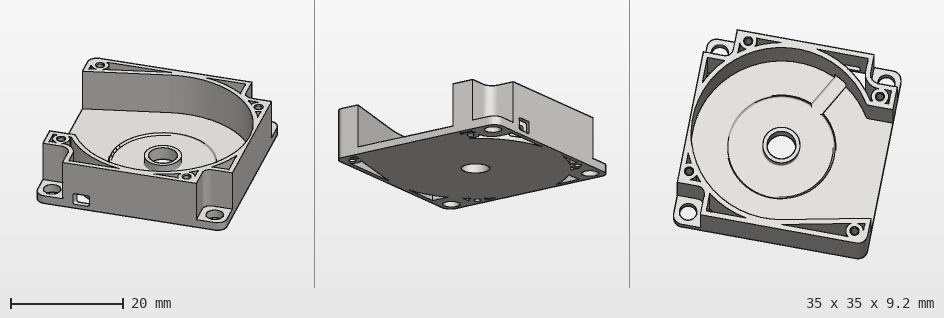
import cadquery as cq
import math

SIDE = 35.0
HEIGHT = 9.2
HALF = SIDE / 2
CORNER_RADIUS = 1.75
WALL = 0.9
FLOOR = 1.33
OVERRUN = 1.75

EAR_THICKNESS = 1.6
RELIEF = 5.15
RELIEF_RADIUS = 1.45
OUTLET_RELIEF_RADIUS = 1.8
MOUNT_HOLE_DIAMETER = 3.08
MOUNT_HOLE_OFFSET = 15.0
EARS = [
    (-1, -1, OUTLET_RELIEF_RADIUS),
    (1, -1, RELIEF_RADIUS),
    (1, 1, RELIEF_RADIUS),
]

FAN_X = 1.05
FAN_RADIUS = 16.0
OUTLET_TOP_Y = 12.5
OUTLET_BOTTOM_Y = -8.05
TONGUE_RADIUS = 0.7

POST_RADIUS = 1.55
SCREW_HOLE_DIAMETER = 1.25
SCREW_CHAMFER = 0.18
FILLER_OVERLAP = 0.55
POSTS = [(-15.05, 15.35), (15.82, 9.95), (-14.8, -10.0), (10.05, -15.8)]
FILLED_CORNERS = [(POSTS[0], -1, 1), (POSTS[1], 1, 1), (POSTS[3], 1, -1)]

RECESS_RADIUS = 9.52
RECESS_FLOOR = 0.85
RECESS_FILLET = 0.35
RECESS_RIM_ROUND = FLOOR - RECESS_FLOOR - RECESS_FILLET
COLLAR_DIAMETER = 6.6
COLLAR_TOP = 2.45
COLLAR_FILLET = 0.18
BORE_DIAMETER = 5.1
CHANNEL_X = -8.92
CHANNEL_WIDTH = 2.65
CHANNEL_HEIGHT = 2.2
CHANNEL_ANGLE = 28.6
CHANNEL_LENGTH = 12.6


def block(x_min, x_max, y_min, y_max, z_min, z_max):
    return cq.Workplane("XY").box(
        x_max - x_min, y_max - y_min, z_max - z_min, centered=False
    ).translate((x_min, y_min, z_min))


def corner_relief(x_side, y_side, size, radius):
    """Corner block above the ears, rounded at its inner vertical edge."""
    reach = size + OVERRUN
    relief = (
        cq.Workplane("XY")
        .rect(2 * reach, 2 * reach)
        .extrude(HEIGHT + OVERRUN)
        .edges("|Z")
        .fillet(radius)
    )
    corner = HALF + OVERRUN
    return relief.translate((x_side * corner, y_side * corner, 0))


def chamber(growth):
    """Fan circle and outlet as a full-height solid, grown outward by the given amount."""
    radius = FAN_RADIUS + growth
    rise_x = -HALF - FAN_X
    distance = math.hypot(rise_x, OUTLET_TOP_Y)
    tangent = math.atan2(OUTLET_TOP_Y, rise_x) - math.acos(FAN_RADIUS / distance)
    tangent_x = FAN_X + radius * math.cos(tangent)
    tangent_y = radius * math.sin(tangent)
    outside_x = -HALF - OVERRUN
    outside_y = tangent_y + (tangent_x - outside_x) / math.tan(tangent)
    bottom_y = OUTLET_BOTTOM_Y - growth
    outlet = (
        cq.Workplane("XY")
        .polyline([
            (outside_x, outside_y),
            (tangent_x, tangent_y),
            (FAN_X, 0),
            (FAN_X, bottom_y),
            (outside_x, bottom_y),
        ])
        .close()
        .extrude(HEIGHT + OVERRUN)
    )
    fan = cq.Workplane("XY").center(FAN_X, 0).circle(radius).extrude(HEIGHT + OVERRUN)
    return fan.union(outlet)


def chamber_cavity():
    """Open chamber above the floor, with the tongue beside the outlet rounded off."""
    tongue_x = FAN_X - math.sqrt(FAN_RADIUS**2 - OUTLET_BOTTOM_Y**2)
    tongue = cq.selectors.NearestToPointSelector((tongue_x, OUTLET_BOTTOM_Y, (HEIGHT + OVERRUN) / 2))
    return chamber(0).edges(tongue).fillet(TONGUE_RADIUS).translate((0, 0, FLOOR))


def lightening_pockets():
    """Through openings left between the outer wall, chamber wall, ear reliefs and posts."""
    inner = HALF - WALL
    pockets = block(-inner, inner, -inner, inner, 0, HEIGHT).cut(chamber(WALL))
    for x_side, y_side, radius in EARS:
        pockets = pockets.cut(corner_relief(x_side, y_side, RELIEF + WALL, radius + WALL))
    posts = cq.Workplane("XY").pushPoints(POSTS).circle(POST_RADIUS).extrude(HEIGHT)
    filler_size = POST_RADIUS + FILLER_OVERLAP
    filler = cq.Workplane("XY").rect(filler_size, filler_size).extrude(HEIGHT)
    shift = POST_RADIUS - filler_size / 2
    for (x, y), x_side, y_side in FILLED_CORNERS:
        pockets = pockets.cut(filler.translate((x + x_side * shift, y + y_side * shift, 0)))
    return pockets.cut(posts)


def recess_half_profile(half_width):
    """Half section below the chamber floor: rounded at its bottom and flared at its rim."""
    return (
        cq.Workplane("XZ")
        .moveTo(0, RECESS_FLOOR)
        .lineTo(half_width - RECESS_FILLET, RECESS_FLOOR)
        .radiusArc((half_width, RECESS_FLOOR + RECESS_FILLET), -RECESS_FILLET)
        .radiusArc((half_width + RECESS_RIM_ROUND, FLOOR), RECESS_RIM_ROUND)
        .lineTo(0, FLOOR)
        .close()
    )


def recess():
    """Shallow disc around the collar."""
    disc = recess_half_profile(RECESS_RADIUS).revolve(360, (0, 0, 0), (0, 1, 0))
    return disc.translate((FAN_X, 0, 0))


def place_channel(shape):
    """Turn a shape running along +Y from the origin into the channel's place and direction."""
    return shape.rotate((0, 0, 0), (0, 0, 1), -CHANNEL_ANGLE).translate((CHANNEL_X, -HALF, 0))


def wire_channel():
    """Groove in the chamber floor leading to a round-cornered tunnel through the -Y side."""
    tunnel = (
        cq.Workplane("XY")
        .box(CHANNEL_WIDTH, CHANNEL_LENGTH + OVERRUN, CHANNEL_HEIGHT, centered=(True, False, False))
        .edges("|Y")
        .fillet(RECESS_FILLET)
        .translate((0, -OVERRUN, RECESS_FLOOR))
    )
    half_groove = recess_half_profile(CHANNEL_WIDTH / 2).extrude(-CHANNEL_LENGTH)
    groove = place_channel(half_groove.union(half_groove.mirror("YZ")))
    return place_channel(tunnel).union(groove.intersect(chamber(0)))


def collar():
    """Bearing collar with a rounded foot, standing on the recess floor."""
    height = COLLAR_TOP - RECESS_FLOOR
    foot_radius = COLLAR_DIAMETER / 2 + COLLAR_FILLET
    profile = (
        cq.Workplane("XZ")
        .moveTo(0, 0)
        .lineTo(foot_radius, 0)
        .radiusArc((COLLAR_DIAMETER / 2, COLLAR_FILLET), COLLAR_FILLET)
        .lineTo(COLLAR_DIAMETER / 2, height)
        .lineTo(0, height)
        .close()
    )
    return profile.revolve(360, (0, 0, 0), (0, 1, 0)).translate((FAN_X, 0, RECESS_FLOOR))


def screw_holes():
    """Through holes in the posts, chamfered at the top."""
    radius = SCREW_HOLE_DIAMETER / 2
    chamfer_bottom = cq.Vector(0, 0, HEIGHT - SCREW_CHAMFER)
    chamfer = cq.Solid.makeCone(radius, radius + SCREW_CHAMFER, SCREW_CHAMFER, pnt=chamfer_bottom)
    hole = cq.Workplane("XY").circle(radius).extrude(HEIGHT).union(cq.Workplane(chamfer)).val()
    return cq.Workplane("XY").pushPoints(POSTS).eachpoint(lambda place: hole.moved(place), combine=False)


def through_holes(points, diameter):
    return cq.Workplane("XY").pushPoints(points).circle(diameter / 2).extrude(HEIGHT)


body = cq.Workplane("XY").rect(SIDE, SIDE).extrude(HEIGHT).edges("|Z").fillet(CORNER_RADIUS)
body = body.cut(chamber_cavity()).cut(lightening_pockets())
for x_side, y_side, radius in EARS:
    body = body.cut(corner_relief(x_side, y_side, RELIEF, radius).translate((0, 0, EAR_THICKNESS)))
body = body.cut(recess()).cut(wire_channel()).union(collar())

mount_points = [(x * MOUNT_HOLE_OFFSET, y * MOUNT_HOLE_OFFSET) for x, y, _ in EARS]
body = body.cut(through_holes(mount_points, MOUNT_HOLE_DIAMETER))
body = body.cut(through_holes([(FAN_X, 0)], BORE_DIAMETER))
for hole in screw_holes().vals():
    body = body.cut(cq.Workplane(hole))
result = body